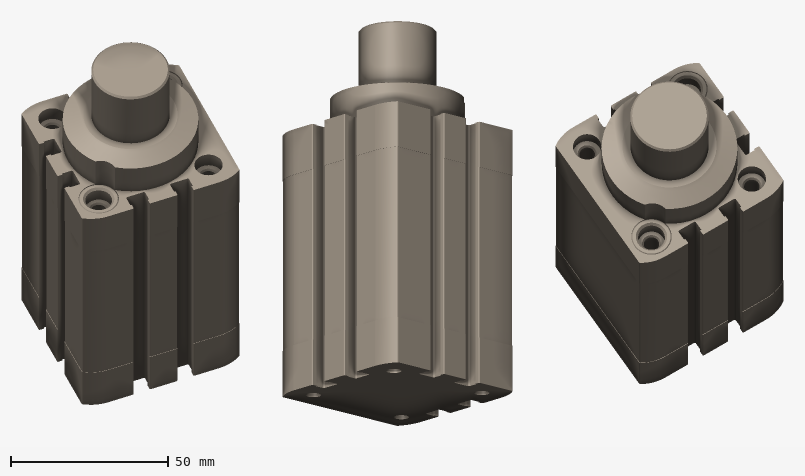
import cadquery as cq
import math

TOTAL_HEIGHT = 120.0
WIDTH = 54.5
BLOCK_HEIGHT = 86.4
CAP_HEIGHT = 15.0
BARREL_HEIGHT = BLOCK_HEIGHT - 2 * CAP_HEIGHT
BARREL_RECESS = 0.1
FRONT_FLAT = 49.5
SIDE_FLAT = 38.4
CORNER_FILLET = 0.6

SLOT_OFFSET = 7.5
SLOT_MOUTH_WIDTH = 5.5
SLOT_MOUTH_DEPTH = 1.8
SLOT_WIDTH = 6.5
SLOT_DEPTH = 5.4
SLOT_MOUTH_ROUND = 0.4
SLOT_FLOOR_FILLET = 0.5
SLOT_SIDE_ANGLES = (0, 90, -90)

COLLAR_DIAMETER = 43.2
COLLAR_TOP_DIAMETER = 30.0
COLLAR_HEIGHT = 12.6
COLLAR_CONE_HEIGHT = 2.0
COLLAR_TOP = BLOCK_HEIGHT + COLLAR_HEIGHT

ROD_DIAMETER = 25.0
ROD_CHAMFER = 0.6

HOLE_OFFSET = 19.0
HOLE_DIAMETER = 4.9
HOLE_MOUTH_DIAMETER = 6.0
COUNTERBORE_DEPTH = 4.9
PLAIN_BORE_DIAMETER = 9.0
SEAT_BORE_DIAMETER = 8.5
SEAT_MOUTH_DIAMETER = 10.0
SEAT_DIAMETER = 12.8
SEAT_CHAMFER = 0.4
PLAIN_CORNERS = ((-1, -1), (1, 1))
SEAT_CORNERS = ((-1, 1), (1, -1))


def block_outline(inset):
    """Square with flat sides whose left and right faces curve in toward the front and back."""
    half_width = WIDTH / 2 - inset
    half_front = FRONT_FLAT / 2
    half_side = SIDE_FLAT / 2
    run = half_width - half_side
    rise = half_width - half_front
    radius = (run ** 2 + rise ** 2) / (2 * rise)
    half_angle = math.asin(run / radius) / 2
    mid_x = half_width - radius * (1 - math.cos(half_angle))
    mid_y = half_side + radius * math.sin(half_angle)
    return (
        cq.Workplane("XY")
        .moveTo(half_width, -half_side)
        .lineTo(half_width, half_side)
        .threePointArc((mid_x, mid_y), (half_front, half_width))
        .lineTo(-half_front, half_width)
        .threePointArc((-mid_x, mid_y), (-half_width, half_side))
        .lineTo(-half_width, -half_side)
        .threePointArc((-mid_x, -mid_y), (-half_front, -half_width))
        .lineTo(half_front, -half_width)
        .threePointArc((mid_x, -mid_y), (half_width, -half_side))
        .close()
    )


def slot_cutter(inset, height):
    """T-slot opening toward -Y, its mouth centred on X = 0."""
    face_y = inset - WIDTH / 2
    half_mouth = SLOT_MOUTH_WIDTH / 2
    half_flare = half_mouth + SLOT_MOUTH_ROUND
    round_end_y = face_y + SLOT_MOUTH_ROUND
    lip_y = SLOT_MOUTH_DEPTH - WIDTH / 2
    floor_y = SLOT_DEPTH - WIDTH / 2
    mouth = (
        cq.Workplane("XY")
        .moveTo(-half_flare, face_y)
        .radiusArc((-half_mouth, round_end_y), -SLOT_MOUTH_ROUND)
        .lineTo(-half_mouth, lip_y)
        .lineTo(half_mouth, lip_y)
        .lineTo(half_mouth, round_end_y)
        .radiusArc((half_flare, face_y), -SLOT_MOUTH_ROUND)
        .close()
        .extrude(height)
    )
    channel = (
        cq.Workplane("XY")
        .center(0, (lip_y + floor_y) / 2)
        .rect(SLOT_WIDTH, floor_y - lip_y)
        .extrude(height)
        .faces(">Y")
        .edges("|Z")
        .fillet(SLOT_FLOOR_FILLET)
    )
    return mouth.union(channel)


def block_section(inset, bottom, height):
    """One length of the slotted block, all its faces set back by the inset."""
    section = block_outline(inset).extrude(height)
    section = section.edges("|Z").edges("<Y or >Y").fillet(CORNER_FILLET)
    cutter = slot_cutter(inset, height)
    for angle in SLOT_SIDE_ANGLES:
        for side in (-1, 1):
            slot = cutter.translate((side * SLOT_OFFSET, 0, 0))
            section = section.cut(slot.rotate((0, 0, 0), (0, 0, 1), angle))
    return section.translate((0, 0, bottom))


def collar():
    radius = COLLAR_DIAMETER / 2
    shoulder = COLLAR_TOP - COLLAR_CONE_HEIGHT
    return (
        cq.Workplane("XZ")
        .moveTo(0, BLOCK_HEIGHT)
        .lineTo(radius, BLOCK_HEIGHT)
        .lineTo(radius, shoulder)
        .lineTo(COLLAR_TOP_DIAMETER / 2, COLLAR_TOP)
        .lineTo(0, COLLAR_TOP)
        .close()
        .revolve(360, (0, 0, 0), (0, 1, 0))
    )


def cylinder(diameter, bottom, top):
    return cq.Workplane("XY", origin=(0, 0, bottom)).circle(diameter / 2).extrude(top - bottom)


def cone(top_diameter, bottom_diameter, top):
    """45 degree cone, widest at its top."""
    depth = (top_diameter - bottom_diameter) / 2
    solid = cq.Solid.makeCone(bottom_diameter / 2, top_diameter / 2, depth, cq.Vector(0, 0, top - depth))
    return cq.Workplane(obj=solid)


def hole_cutter(bore_diameter):
    """Through hole with a countersunk start under a counterbore."""
    floor = BLOCK_HEIGHT - COUNTERBORE_DEPTH
    through = cylinder(HOLE_DIAMETER, 0, BLOCK_HEIGHT)
    counterbore = cylinder(bore_diameter, floor, COLLAR_TOP)
    return through.union(counterbore).union(cone(HOLE_MOUTH_DIAMETER, HOLE_DIAMETER, floor))


def seat_cutter():
    """Seat bore with a countersunk mouth, a V groove round it and clearance up through the collar."""
    clearance = cylinder(SEAT_DIAMETER, BLOCK_HEIGHT, COLLAR_TOP)
    ring = cylinder(SEAT_DIAMETER, BLOCK_HEIGHT - SEAT_CHAMFER, BLOCK_HEIGHT)
    bevel = cq.Solid.makeCone(
        SEAT_DIAMETER / 2,
        SEAT_DIAMETER / 2 - SEAT_CHAMFER,
        SEAT_CHAMFER,
        cq.Vector(0, 0, BLOCK_HEIGHT - SEAT_CHAMFER),
    )
    groove = ring.cut(cq.Workplane(obj=bevel))
    mouth = cone(SEAT_MOUTH_DIAMETER, SEAT_BORE_DIAMETER, BLOCK_HEIGHT)
    return hole_cutter(SEAT_BORE_DIAMETER).union(clearance).union(groove).union(mouth)


def at_corner(cutter, corner):
    return cutter.translate((corner[0] * HOLE_OFFSET, corner[1] * HOLE_OFFSET, 0))


def make_housing():
    body = block_section(0, 0, CAP_HEIGHT)
    body = body.union(block_section(BARREL_RECESS, CAP_HEIGHT, BARREL_HEIGHT))
    body = body.union(block_section(0, CAP_HEIGHT + BARREL_HEIGHT, CAP_HEIGHT))
    body = body.union(collar())
    for corner in PLAIN_CORNERS:
        body = body.cut(at_corner(hole_cutter(PLAIN_BORE_DIAMETER), corner))
    for corner in SEAT_CORNERS:
        body = body.cut(at_corner(seat_cutter(), corner))
    return body


def make_rod():
    return cylinder(ROD_DIAMETER, COLLAR_TOP, TOTAL_HEIGHT).faces(">Z").chamfer(ROD_CHAMFER)


housing = make_housing()
rod = make_rod()
result = cq.Compound.makeCompound([housing.val(), rod.val()])